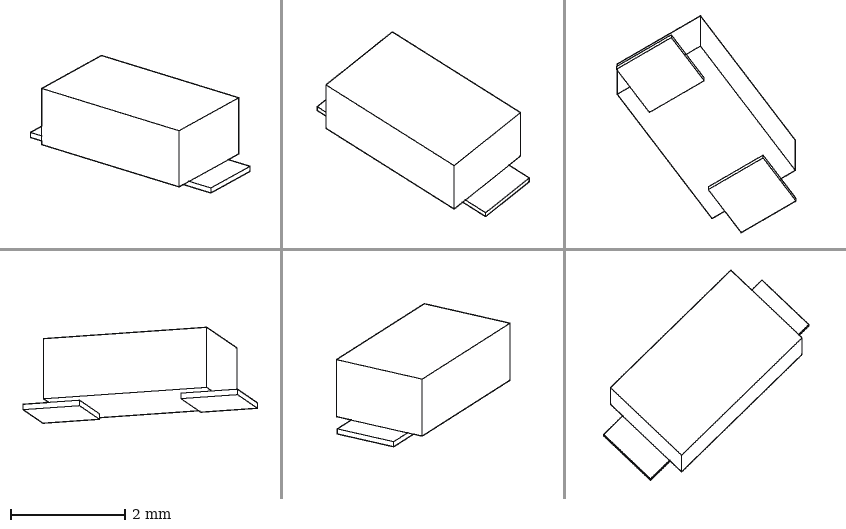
import cadquery as cq

overall_length = 3.94
overall_width = 1.75
overall_height = 1.18

lead_length = 1.04
lead_width = 1.15
lead_thickness = 0.1

housing_length = 3.0
housing_height = overall_height - lead_thickness


def make_housing():
    """Rectangular package body standing on top of the leads."""
    return (
        cq.Workplane("XY", origin=(0, 0, lead_thickness))
        .box(housing_length, overall_width, housing_height, centered=(True, True, False))
    )


def make_lead(side):
    """Flat lead at the -X (side = -1) or +X (side = 1) end, with its bottom at Z = 0."""
    center_x = side * (overall_length - lead_length) / 2
    return (
        cq.Workplane("XY", origin=(center_x, 0, 0))
        .box(lead_length, lead_width, lead_thickness, centered=(True, True, False))
    )


housing = make_housing()
leads = [make_lead(side) for side in (-1, 1)]

result = cq.Compound.makeCompound([housing.val(), *(lead.val() for lead in leads)])